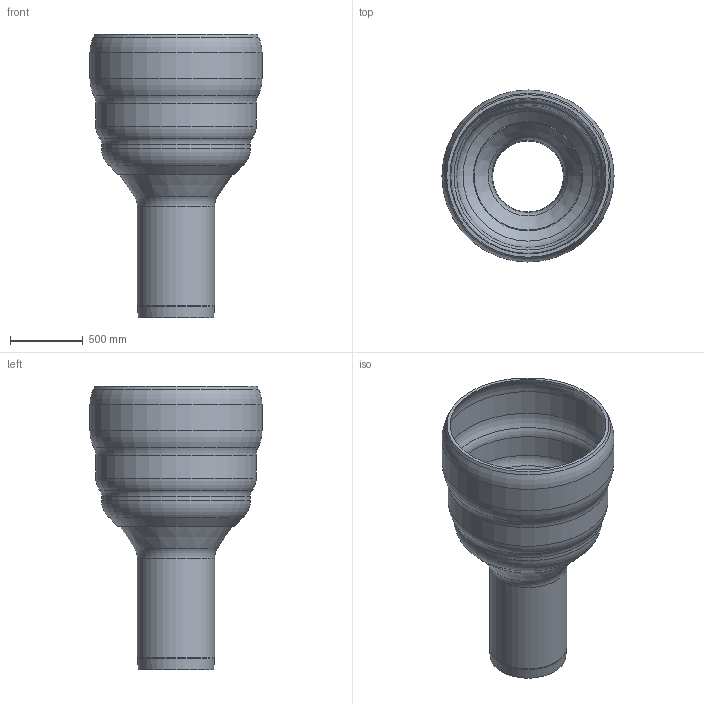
import cadquery as cq
import math


total_height = 1945.0
neck_height = 985.0

bowl_wall = 20.0
rim_diameter = 1180.0
middle_diameter = 1100.0
lower_diameter = 1020.0
lip_lean = -25.0
lip_height = 20.0
rim_bend_radius = 250.0
rim_band_height = 181.0
upper_step_radius = 252.0
middle_band_height = 155.0
lower_step_radius = 145.0
lower_band_height = 25.0
base_bend_radius = 172.0
base_lean = 45.0

neck_wall = 15.0
pipe_diameter = 530.0
pipe_bottom = 82.0
pipe_top = 765.0
cone_lean = 33.5
cone_bend_radius = 118.0
tip_lean = 5.0
tip_bend_radius = 60.0


def straight(joint, end_height):
    """Joint reached by following the wall straight to the given height."""
    radius, height, lean = joint
    drop = height - end_height
    return (radius - drop * math.tan(math.radians(lean)), end_height, lean)


def bend(joint, outer_radius, end_lean, bulging=True):
    """Joint reached along an arc that bulges away from the axis, or curves in towards it."""
    radius, height, lean = joint
    signed_radius = outer_radius if bulging else -outer_radius
    start = math.radians(lean)
    end = math.radians(end_lean)
    return (
        radius + signed_radius * (math.cos(end) - math.cos(start)),
        height - signed_radius * (math.sin(end) - math.sin(start)),
        end_lean,
    )


def step_in(joint, end_diameter, bulge_radius):
    """Two joints of an S-shaped step: a bulging arc, then a hollow arc of half its radius."""
    hollow_radius = bulge_radius / 2
    depth = joint[0] - end_diameter / 2
    lean = math.degrees(math.acos(1 - depth / (bulge_radius + hollow_radius)))
    middle = bend(joint, bulge_radius, lean)
    return [middle, bend(middle, hollow_radius, 0.0, bulging=False)]


def inner_joints(joints, wall):
    """Joints of the parallel inner face; both ends of the wall are cut level."""
    inner = []
    last = len(joints) - 1
    for index, (radius, height, lean) in enumerate(joints):
        angle = math.radians(lean)
        if index in (0, last):
            inner.append((radius - wall / math.cos(angle), height, lean))
        else:
            inner.append((radius - wall * math.cos(angle), height + wall * math.sin(angle), lean))
    return inner


def draw_face(outline, joints):
    """Extend the outline from the first joint through the others."""
    for previous, joint in zip(joints, joints[1:]):
        if previous[2] == joint[2]:
            outline = outline.lineTo(joint[0], joint[1])
        else:
            outline = outline.tangentArcPoint((joint[0], joint[1]), relative=False)
    return outline


def revolve_wall(joints, wall):
    """Shell of revolution about Z with the given outer joints and wall thickness."""
    upward = inner_joints(joints, wall)[::-1]
    outline = cq.Workplane("XZ").moveTo(joints[0][0], joints[0][1])
    outline = draw_face(outline, joints)
    outline = outline.lineTo(upward[0][0], upward[0][1])
    outline = draw_face(outline, upward).close()
    return outline.revolve(360, (0, 0, 0), (0, 1, 0))


def make_bowl():
    rim_arc_height = rim_bend_radius * math.sin(math.radians(-lip_lean))
    rim_top = (rim_diameter / 2, total_height - lip_height - rim_arc_height, 0.0)
    lip_bottom = bend(rim_top, rim_bend_radius, lip_lean)
    joints = [straight(lip_bottom, total_height), lip_bottom, rim_top]
    joints.append(straight(rim_top, rim_top[1] - rim_band_height))
    joints += step_in(joints[-1], middle_diameter, upper_step_radius)
    joints.append(straight(joints[-1], joints[-1][1] - middle_band_height))
    joints += step_in(joints[-1], lower_diameter, lower_step_radius)
    joints.append(straight(joints[-1], joints[-1][1] - lower_band_height))
    joints.append(bend(joints[-1], base_bend_radius, base_lean))
    joints.append(straight(joints[-1], neck_height))
    return revolve_wall(joints, bowl_wall)


def make_neck():
    pipe_start = (pipe_diameter / 2, pipe_top, 0.0)
    cone_bottom = bend(pipe_start, cone_bend_radius, cone_lean, bulging=False)
    cone_top = straight(cone_bottom, neck_height)
    pipe_end = straight(pipe_start, pipe_bottom)
    tip_top = bend(pipe_end, tip_bend_radius, tip_lean)
    tip_end = straight(tip_top, 0.0)
    return revolve_wall([cone_top, cone_bottom, pipe_start, pipe_end, tip_top, tip_end], neck_wall)


bowl = make_bowl()
neck = make_neck()

result = cq.Compound.makeCompound([bowl.val(), neck.val()])